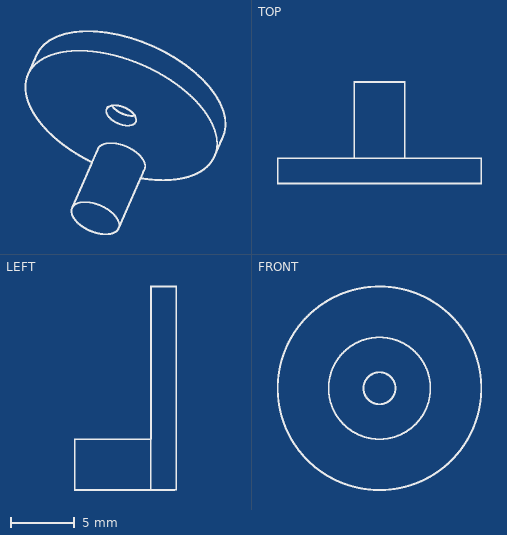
import cadquery as cq

disc_diameter = 16.0
disc_thickness = 2.0
recess_diameter = disc_diameter / 2
recess_depth = disc_thickness / 2
bore_diameter = 2.5
pin_diameter = disc_diameter / 4
pin_length = 6.0

pin_offset = (disc_diameter - pin_diameter) / 2


def cylinder_along_y(diameter, start_y, length, center_z=0.0):
    """Cylinder running from start_y toward +Y, centred at X = 0."""
    return cq.Workplane(
        cq.Solid.makeCylinder(
            diameter / 2,
            length,
            cq.Vector(0, start_y, center_z),
            cq.Vector(0, 1, 0),
        )
    )


disc = cylinder_along_y(disc_diameter, 0, disc_thickness)

recess = cylinder_along_y(recess_diameter, 0, recess_depth)
bore = cylinder_along_y(bore_diameter, 0, disc_thickness)

pin_root = disc_thickness - recess_depth
pin = cylinder_along_y(
    pin_diameter,
    disc_thickness - pin_root,
    pin_length + pin_root,
    -pin_offset,
)

result = disc.union(pin).cut(recess).cut(bore)